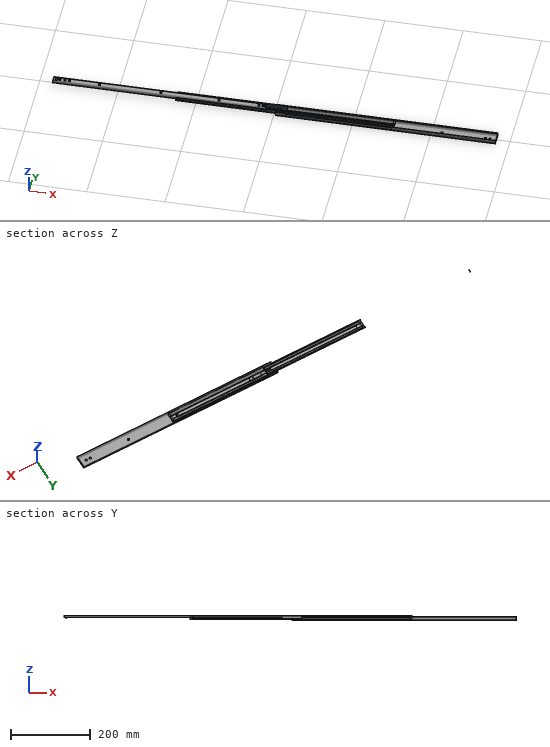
import cadquery as cq


slide_length = 1130.9
slide_width = 35.3
slide_height = 13.0
sheet = 1.2
cage_sheet = 0.8

inner_start = -slide_length / 2
inner_end = -20.8
middle_start = -250.5
middle_end = 305.0
outer_start = 4.6
outer_end = slide_length / 2
inner_cage_start = -245.0
inner_cage_end = 29.0
outer_cage_start = 30.0
outer_cage_end = 300.0

outer_top = 9.6
outer_corner = 2.5
outer_mouth = 27.0

middle_width = 26.4
middle_bottom = 2.6
middle_top = 12.2
middle_lower_corner = 3.2
middle_upper_corner = 2.0
middle_mouth = 20.8
rib_width = 10.0
rib_rise = 0.6

inner_width = 20.1
inner_bottom = 7.5
inner_corner = 3.2

outer_cage_width = 30.4
outer_cage_bottom = 1.5
outer_cage_top = 8.0
inner_cage_width = 21.8
inner_cage_bottom = 4.5
inner_cage_top = 10.8
cage_window_width = 10.0
cage_bridge = 13.0

screw_hole = 5.0
cage_hole = 6.0
access_hole = 11.0
inner_hole_places = [-548.4, -535.8, -524.5, -447.9, -291.2, -143.0, -40.9, -29.8]
middle_hole_place = 286.0
access_hole_place = 71.5
outer_hole_places = [426.3, 537.0, 548.8]

latch_window_width = 8.0
latch_window_start = inner_start + 6.0
latch_window_end = inner_start + 11.0
latch_tab_width = 7.6
latch_tab_bottom = 5.0
notch_width = 8.0
notch_depth = 3.5
stop_top = 4.0
stop_width = outer_mouth


def block(x0, x1, width, z0, z1):
    """Box between two X stations, centred on Y, between two heights."""
    return cq.Workplane("XY").box(x1 - x0, width, z1 - z0, centered=False).translate((x0, -width / 2, z0))


def rounded_bar(x0, x1, width, z0, z1, lower_radius, upper_radius):
    """Solid bar whose long edges are rounded; a radius of zero leaves them sharp."""
    bar = block(x0, x1, width, z0, z1)
    if lower_radius > 0:
        bar = bar.faces("<Z").edges("|X").fillet(lower_radius)
    if upper_radius > 0:
        bar = bar.faces(">Z").edges("|X").fillet(upper_radius)
    return bar


def lipped_channel(x0, x1, width, z0, z1, lower_radius, upper_radius, mouth):
    """C-shaped rail, open upward, with its lips turned in towards the mouth."""
    skin = rounded_bar(x0, x1, width, z0, z1, lower_radius, upper_radius)
    cavity = rounded_bar(
        x0, x1, width - 2 * sheet, z0 + sheet, z1 - sheet, lower_radius - sheet, upper_radius - sheet
    )
    opening = block(x0, x1, mouth, z1 - 2 * sheet, z1)
    return skin.cut(cavity).cut(opening)


def drill(body, x_places, diameter):
    """Round holes along the centre line, through the full height."""
    cutters = (
        cq.Workplane("XY")
        .pushPoints([(x, 0) for x in x_places])
        .circle(diameter / 2)
        .extrude(slide_height)
    )
    return body.cut(cutters)


def make_outer_rail():
    rail = lipped_channel(
        outer_start, outer_end, slide_width, 0, outer_top, outer_corner, outer_corner, outer_mouth
    )
    rail = rail.union(block(outer_end - sheet, outer_end, stop_width, 0, stop_top))
    return drill(rail, outer_hole_places, screw_hole)


def make_middle_rail():
    rail = lipped_channel(
        middle_start, middle_end, middle_width, middle_bottom, middle_top,
        middle_lower_corner, middle_upper_corner, middle_mouth,
    )
    web_top = middle_bottom + sheet
    rail = rail.union(block(middle_start, middle_end, rib_width, middle_bottom, web_top + rib_rise))
    groove_width = rib_width - 2 * rib_rise
    groove = block(middle_start, middle_end, groove_width, middle_bottom, middle_bottom + rib_rise)
    rail = rail.cut(groove)
    rail = drill(rail, [middle_hole_place], screw_hole)
    return drill(rail, [access_hole_place], access_hole)


def make_inner_rail():
    """Channel open downward, with a latch tab at the front and a notch at the back."""
    skin = rounded_bar(inner_start, inner_end, inner_width, inner_bottom, slide_height, 0, inner_corner)
    web_bottom = slide_height - sheet
    cavity = rounded_bar(
        inner_start, inner_end, inner_width - 2 * sheet, inner_bottom, web_bottom, 0, inner_corner - sheet
    )
    rail = skin.cut(cavity)
    rail = rail.cut(block(latch_window_start, latch_window_end, latch_window_width, web_bottom, slide_height))
    tab_start = latch_window_start - sheet
    rail = rail.union(block(tab_start, latch_window_start, latch_tab_width, latch_tab_bottom, slide_height))
    rail = rail.cut(block(inner_end - notch_depth, inner_end, notch_width, web_bottom, slide_height))
    return drill(rail, inner_hole_places, screw_hole)


def make_cage(x0, x1, width, z0, z1):
    """Two upright strips joined by a web bridge at each end."""
    cage = block(x0, x1, width, z0, z1)
    cage = cage.cut(block(x0, x1, width - 2 * cage_sheet, z0 + cage_sheet, z1))
    return cage.cut(block(x0 + cage_bridge, x1 - cage_bridge, cage_window_width, z0, z0 + cage_sheet))


outer_rail = make_outer_rail()
middle_rail = make_middle_rail()
inner_rail = make_inner_rail()
outer_cage = make_cage(
    outer_cage_start, outer_cage_end, outer_cage_width, outer_cage_bottom, outer_cage_top
)
inner_cage = make_cage(
    inner_cage_start, inner_cage_end, inner_cage_width, inner_cage_bottom, inner_cage_top
)
inner_cage = drill(inner_cage, [inner_cage_end - cage_bridge / 2], cage_hole)

result = cq.Compound.makeCompound(
    [outer_rail.val(), middle_rail.val(), inner_rail.val(), outer_cage.val(), inner_cage.val()]
)